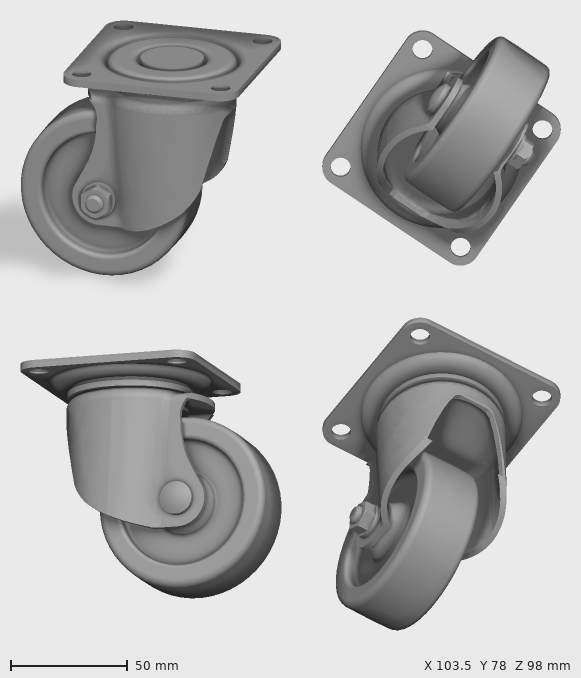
import cadquery as cq
import math


sheet = 2.7
axle_x = -27.0
axle_z = -60.5
axle_radius = 4.0
leg_inner_y = 15.6
leg_outer_y = leg_inner_y + sheet
pin_radius = 13.6

plate_side = 78.0
plate_thick = 3.3
plate_corner = 8.3
hole_pitch = 62.1
hole_radius = 4.2
groove_outer = 33.2
groove_root = 28.2
groove_depth = 3.1
land_outer = 24.3
land_inner = 18.4
dish_outer = 34.6
dish_inner = 29.0
dish_bottom = -6.7
neck_top_radius = 25.6
neck_low_radius = 24.9

ring_radius = 27.1
ring_top = -8.6
ring_bottom = -11.1

bulge_radius = 27.5
bulge_top_rx = 28.4
bulge_low_rx = 25.5
bulge_top_round = 5.1
bulge_low_z = -77.6
bend_radius = 5.4
tongue_top = -13.7
tongue_bottom = tongue_top - sheet
tongue_tip_x = -36.3
tongue_side_x = -30.2
tongue_root_x = -31.6
tongue_round = 3.9
ceiling_z = -17.9
ceiling_round = 3.9
ear_radius = 12.1
ear_join_angle = 25
clearance = 2.1
rear_lip_z = -20.6
rear_lip_middle = (26.4, -21.5)
rear_top = (25.7, -22.9)
rear_low = (18.6, -51.6)
rear_bend = (14.7, -58.2)
low_edge_rear = (10.1, -62.5)
low_edge_middle = (-2.1, -69.1)
low_edge_front_x = -16.0
leg_front_low = (-33.8, -47.8)
leg_front_bow = (-29.6, -37.3)
leg_waist = (-28.4, -26.4)
tongue_sweep = (-29.2, -19.5)
opening_top_z = -21.8
opening_top_half = 7.1
opening_ratio = 0.95

wheel_radius = 37.5
tread_crown = 0.2
wheel_half = 13.6
tread_round = 2.9
rim_radius = 27.6
recess_round = 1.8
web_half = 8.1
hub_root_radius = 13.6
hub_root_round = 1.6
hub_shoulder_radius = 10.7
hub_shoulder_y = 14.8
hub_face_radius = 9.2

head_radius = 7.1
head_rim_y = 20.9
head_top_y = 23.1
washer_radius = 7.6
washer_y = 20.4
nut_flats = 12.2
nut_y = 25.4
nut_bevel_height = 0.6
bolt_end_y = 27.5
bolt_end_chamfer = 1.1


def bulged_arc(start, end, radius, side):
    """Middle point of the arc of given radius from start to end, left (1) or right (-1) of the chord."""
    dx, dy = end[0] - start[0], end[1] - start[1]
    chord = math.hypot(dx, dy)
    rise = radius - math.sqrt(radius**2 - chord**2 / 4)
    return (
        (start[0] + end[0]) / 2 - side * rise * dy / chord,
        (start[1] + end[1]) / 2 + side * rise * dx / chord,
    )


def tangent_radius(run, drop):
    """Radius of an arc that starts level and falls by drop over run."""
    return (run**2 + drop**2) / (2 * drop)


def cylinder_y(radius, y_start, y_end):
    """Cylinder on the wheel axle."""
    length = y_end - y_start
    origin = (axle_x, y_start, axle_z)
    return cq.Workplane("XZ", origin=origin).circle(radius).extrude(-length)


def make_plate():
    slab = (
        cq.Workplane("XY")
        .box(plate_side, plate_side, plate_thick, centered=(True, True, False))
        .translate((0, 0, -plate_thick))
        .edges("|Z")
        .fillet(plate_corner)
        .faces(">Z")
        .workplane()
        .rect(hole_pitch, hole_pitch, forConstruction=True)
        .vertices()
        .hole(2 * hole_radius)
        .cut(cq.Workplane("XY").circle(groove_outer).extrude(-plate_thick))
    )
    root = (groove_root, -groove_depth)
    outer_roll = tangent_radius(groove_outer - groove_root, groove_depth)
    inner_roll = tangent_radius(groove_root - land_outer, groove_depth)
    hole_roll = land_inner - pin_radius
    centre = (
        cq.Workplane("XZ")
        .moveTo(groove_outer, 0)
        .threePointArc(bulged_arc(root, (groove_outer, 0), outer_roll, 1), root)
        .threePointArc(bulged_arc(root, (land_outer, 0), inner_roll, -1), (land_outer, 0))
        .lineTo(land_inner, 0)
        .radiusArc((pin_radius, -hole_roll), -hole_roll)
        .lineTo(pin_radius, ring_top)
        .lineTo(neck_low_radius, ring_top)
        .lineTo(neck_top_radius, dish_bottom)
        .lineTo(dish_inner, dish_bottom)
        .radiusArc(
            (dish_outer, -plate_thick),
            -tangent_radius(dish_outer - dish_inner, -plate_thick - dish_bottom),
        )
        .lineTo(groove_outer, -plate_thick)
        .close()
        .revolve(360, (0, 0), (0, 1))
    )
    return slab.union(centre)


def make_swivel_pin():
    pin = cq.Workplane("XY").circle(pin_radius).extrude(ceiling_z)
    ring_base = cq.Workplane("XY", origin=(0, 0, ring_bottom))
    ring = ring_base.circle(ring_radius).extrude(ring_top - ring_bottom)
    return pin.union(ring)


def bulge(inset, top_z):
    """Tapered round body of the fork with an upright rear, inset from the outer surface."""
    return (
        cq.Workplane("XY", origin=(0, 0, top_z))
        .center(bulge_radius - bulge_top_rx, 0)
        .ellipse(bulge_top_rx - inset, bulge_radius - inset)
        .workplane(offset=bulge_low_z - top_z)
        .center(bulge_top_rx - bulge_low_rx, 0)
        .ellipse(bulge_low_rx - inset, bulge_radius - inset)
        .loft()
    )


def ear_block(half_width, top_z, round_radius):
    """Block between the outer or inner faces of the two legs, ahead of the bulge."""
    front_x = axle_x - ear_radius - clearance
    return (
        cq.Workplane("XY", origin=(front_x, 0, bulge_low_z))
        .box(-front_x, 2 * half_width, top_z - bulge_low_z, centered=(False, True, False))
        .edges("|X and >Z")
        .fillet(round_radius)
    )


def bend_edges(body):
    """Edges where the two flat legs run into the bulge."""
    edges = cq.Workplane("XY")
    for side in (1, -1):
        low = (-bulge_radius, side * leg_outer_y - clearance, axle_z)
        high = (0, side * leg_outer_y + clearance, rear_top[1])
        edges = edges.add(body.edges(cq.selectors.BoxSelector(low, high)))
    return edges


def side_profile():
    """Fork outline seen along Y, as a block through the full width."""
    ear_front = (axle_x - ear_radius, axle_z)
    ear_low = (axle_x, axle_z - ear_radius)
    ear_rise = math.radians(ear_join_angle)
    ear_join = (axle_x - ear_radius * math.cos(ear_rise), axle_z + ear_radius * math.sin(ear_rise))
    rear_x = bulge_radius + clearance
    front_x = axle_x - ear_radius - clearance
    return (
        cq.Workplane("XZ")
        .moveTo(front_x, 0)
        .lineTo(rear_x, 0)
        .lineTo(rear_x, rear_lip_z)
        .lineTo(bulge_radius, rear_lip_z)
        .threePointArc(rear_lip_middle, rear_top)
        .lineTo(*rear_low)
        .threePointArc(rear_bend, low_edge_rear)
        .threePointArc(low_edge_middle, (low_edge_front_x, ear_low[1]))
        .lineTo(*ear_low)
        .threePointArc(ear_front, ear_join)
        .lineTo(*leg_front_low)
        .threePointArc(leg_front_bow, leg_waist)
        .threePointArc(tongue_sweep, (tongue_root_x, tongue_bottom))
        .lineTo(front_x, tongue_bottom)
        .close()
        .extrude(plate_side / 2, both=True)
    )


def tongue_front():
    """Space ahead of the tongue, whose front edge bows forward."""
    front_x = axle_x - ear_radius - clearance
    return (
        cq.Workplane("XY", origin=(0, 0, tongue_bottom))
        .moveTo(tongue_side_x, leg_outer_y)
        .threePointArc((tongue_tip_x, 0), (tongue_side_x, -leg_outer_y))
        .lineTo(front_x, -leg_outer_y)
        .lineTo(front_x, leg_outer_y)
        .close()
        .extrude(-tongue_bottom)
    )


def rear_half_width(z):
    """Half width of the rear opening where the sloping rear edge is at height z."""
    share = (z - rear_top[1]) / (rear_low[1] - rear_top[1])
    edge_x = rear_top[0] + share * (rear_low[0] - rear_top[0])
    return opening_ratio * math.sqrt(bulge_radius**2 - edge_x**2)


def rear_opening():
    """Cutter along X that trims the inner edge of the rear wall."""
    steps = 4
    heights = [rear_top[1] + i * (rear_low[1] - rear_top[1]) / steps for i in range(steps + 1)]
    side = [(rear_half_width(z), z) for z in heights]
    half = (
        cq.Workplane("YZ")
        .moveTo(0, opening_top_z)
        .lineTo(opening_top_half, opening_top_z)
        .lineTo(*side[0])
        .spline(side[1:], includeCurrent=True)
        .lineTo(0, rear_low[1])
        .close()
        .extrude(bulge_radius + clearance)
    )
    return half.union(half.mirror("XZ"))


def head_block():
    """Thick head of the fork, kept solid behind the tongue."""
    return cq.Workplane("XY", origin=(0, 0, ceiling_z)).circle(bulge_radius - sheet).extrude(-ceiling_z)


def make_fork(pin, axle):
    outer = bulge(0, ring_bottom).faces(">Z").edges().fillet(bulge_top_round)
    outer = outer.union(ear_block(leg_outer_y, tongue_top, tongue_round))
    outer = outer.newObject(bend_edges(outer).vals()).fillet(bend_radius)
    inner = bulge(sheet, ceiling_z).faces(">Z").edges().fillet(ceiling_round)
    wheel_gap = ear_block(leg_inner_y, tongue_bottom, tongue_round - sheet).cut(head_block())
    shell = outer.cut(inner).cut(wheel_gap).intersect(side_profile())
    return shell.cut(tongue_front()).cut(rear_opening()).cut(pin).cut(axle)


def make_wheel():
    tread_edge = wheel_radius - tread_crown
    tread_half = wheel_half - tread_round
    wall_low = web_half + recess_round
    hub_root = (hub_root_radius + hub_root_round, web_half)
    half = (
        cq.Workplane("XY")
        .moveTo(axle_radius, 0)
        .lineTo(axle_radius, leg_inner_y)
        .lineTo(hub_face_radius, leg_inner_y)
        .lineTo(hub_shoulder_radius, hub_shoulder_y)
        .lineTo(hub_root_radius, web_half + hub_root_round)
        .radiusArc(hub_root, -hub_root_round)
        .lineTo(rim_radius - recess_round, web_half)
        .radiusArc((rim_radius, wall_low), -recess_round)
        .lineTo(rim_radius, wheel_half - recess_round)
        .radiusArc((rim_radius + recess_round, wheel_half), recess_round)
        .lineTo(tread_edge - tread_round, wheel_half)
        .radiusArc((tread_edge, tread_half), tread_round)
        .lineTo(tread_edge, 0)
        .close()
        .revolve(360, (0, 0), (0, 1))
    )
    tread = (
        cq.Workplane("XY")
        .moveTo(rim_radius + recess_round, -tread_half)
        .lineTo(tread_edge, -tread_half)
        .threePointArc((wheel_radius, 0), (tread_edge, tread_half))
        .lineTo(rim_radius + recess_round, tread_half)
        .close()
        .revolve(360, (0, 0), (0, 1))
    )
    return half.union(half.mirror("XZ")).union(tread).translate((axle_x, 0, axle_z))


def make_axle():
    shank = cylinder_y(axle_radius, -bolt_end_y, leg_outer_y).faces("<Y").chamfer(bolt_end_chamfer)
    washer = cylinder_y(washer_radius, -washer_y, -leg_outer_y)
    nut = (
        cq.Workplane("XZ", origin=(axle_x, -washer_y, axle_z))
        .polygon(6, nut_flats, circumscribed=True)
        .extrude(nut_y - washer_y)
    )
    corner_radius = nut_flats / math.sqrt(3)
    nut_bevel = cylinder_y(corner_radius, -nut_y, -washer_y).faces("<Y").chamfer(nut_bevel_height)
    head = (
        cq.Workplane("XY")
        .moveTo(0, leg_outer_y)
        .lineTo(head_radius, leg_outer_y)
        .lineTo(head_radius, head_rim_y)
        .radiusArc((0, head_top_y), -tangent_radius(head_radius, head_top_y - head_rim_y))
        .close()
        .revolve(360, (0, 0), (0, 1))
        .translate((axle_x, 0, axle_z))
    )
    return shank.union(washer).union(nut.intersect(nut_bevel)).union(head)


plate = make_plate()
swivel_pin = make_swivel_pin()
axle = make_axle()
fork = make_fork(swivel_pin, axle)
wheel = make_wheel()

bodies = [plate, swivel_pin, fork, wheel, axle]
result = cq.Compound.makeCompound([body.solids().val() for body in bodies])